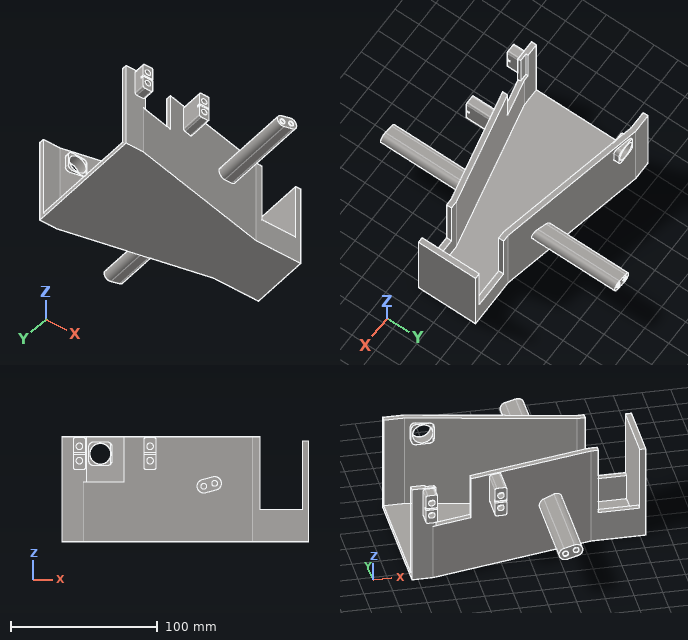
import cadquery as cq
import math

LENGTH = 168.4
HEIGHT = 72.0
WIDE_HALF = 48.8
NARROW_HALF = 24.0
WALL = 4.1
FLOOR = 3.7
TAPER_START = 14.7
TAPER_END = 130.0
TAPER_ANGLE = math.atan2(WIDE_HALF - NARROW_HALF, TAPER_END - TAPER_START)

END_PLATE = 4.3
END_PLATE_TOP = 69.0
OPENING_START = 135.2
OPENING_BOTTOM = 22.1

WINDOW_END = 42.5
WINDOW_BOTTOM = 41.0
TAB_START = 9.8
TAB_THICKNESS = 2.4
TAB_END_INNER = 15.9
TAB_END_OUTER = 16.7

BUSHING_X = 26.3
BUSHING_Z = 60.2
BUSHING_SIZE = 16.0
BUSHING_CORNER = 3.5
BUSHING_LENGTH = 8.2
BUSHING_BORE = 14.1

TAB_CONNECTOR_X = 12.0
TAPER_CONNECTOR_X = 60.2
CONNECTOR_WIDTH = 8.2
CONNECTOR_HEIGHT = 22.0
CONNECTOR_TOP = 71.3
CONNECTOR_CORNER = 1.4
CONNECTOR_FRONT = -57.8
CONNECTOR_HOLE = 4.5
CONNECTOR_HOLE_SPACING = 9.8
CONNECTOR_HOLE_DEPTH = 5.9
GROOVE_WIDTH = 1.2
GROOVE_DEPTH = 2.4

ROD_X = 100.5
ROD_Z = 39.0
ROD_TIP = 98.0
ROD_TILT = 15.0
ROD_THICKNESS = 9.2
ROD_HOLE = 4.0
ROD_HOLE_SPACING = 7.6
ROD_HOLE_DEPTH = 0.8


def channel_prism(inset, bottom, top):
    """Funnel outline moved inwards by `inset`, extruded between two heights."""
    bend_shift = inset * math.tan(TAPER_ANGLE / 2)
    wide = WIDE_HALF - inset
    narrow = NARROW_HALF - inset
    taper_start = TAPER_START - bend_shift
    taper_end = TAPER_END - bend_shift
    outline = [(0, wide), (taper_start, wide), (taper_end, narrow), (LENGTH, narrow)]
    mirrored = [(x, -y) for x, y in reversed(outline)]
    sketch = cq.Workplane("XY").workplane(offset=bottom).polyline(outline + mirrored).close()
    return sketch.extrude(top - bottom)


def box_between(x_range, y_range, z_range):
    """Box given by its limits along each axis."""
    size = [high - low for low, high in (x_range, y_range, z_range)]
    return cq.Workplane("XY").box(*size, centered=False).translate((x_range[0], y_range[0], z_range[0]))


def xz_plane(y):
    """Sketch plane at `y` that extrudes towards +Y, with local x = -X and local y = Z."""
    return cq.Workplane(cq.Plane(origin=(0, y, 0), xDir=(-1, 0, 0), normal=(0, 1, 0)))


def bushing_block():
    """Rounded square block flush with the outer side of the wide +Y wall."""
    block = xz_plane(WIDE_HALF - BUSHING_LENGTH).center(-BUSHING_X, BUSHING_Z)
    block = block.rect(BUSHING_SIZE, BUSHING_SIZE).extrude(BUSHING_LENGTH)
    return block.edges("|Y").fillet(BUSHING_CORNER)


def window_tab():
    """Straight tab that carries the wide wall on to the window, with a slanted end."""
    inner = TAB_THICKNESS - WIDE_HALF
    outline = [
        (TAB_START, -WIDE_HALF),
        (TAB_END_OUTER, -WIDE_HALF),
        (TAB_END_INNER, inner),
        (TAB_START, inner),
    ]
    tab = cq.Workplane("XY").workplane(offset=WINDOW_BOTTOM).polyline(outline).close()
    return tab.extrude(HEIGHT - WINDOW_BOTTOM)


def make_tray():
    """Open-topped channel with an end plate, a window in one wall and a seat for the bushing."""
    tray = channel_prism(0, 0, HEIGHT)
    cavity = channel_prism(WALL, FLOOR, HEIGHT)
    cavity = cavity.intersect(box_between((0, LENGTH - END_PLATE), (-WIDE_HALF, WIDE_HALF), (FLOOR, HEIGHT)))
    tray = tray.cut(cavity)

    across = (-NARROW_HALF, NARROW_HALF)
    tray = tray.cut(box_between((OPENING_START, LENGTH - END_PLATE), across, (OPENING_BOTTOM, HEIGHT)))
    tray = tray.cut(box_between((OPENING_START, LENGTH), across, (END_PLATE_TOP, HEIGHT)))

    window = box_between((TAB_START, WINDOW_END), (-WIDE_HALF, 0), (WINDOW_BOTTOM, HEIGHT))
    tray = tray.cut(window).union(window_tab())
    return tray.cut(bushing_block())


def make_bushing():
    """Rounded square block with a round bore along Y."""
    bore = xz_plane(0).center(-BUSHING_X, BUSHING_Z).circle(BUSHING_BORE / 2).extrude(WIDE_HALF)
    return bushing_block().cut(bore)


def make_connector(x, back):
    """Grooved two-hole block reaching back to Y = `back`, trimmed to the outer side of the tray."""
    middle = CONNECTOR_TOP - CONNECTOR_HEIGHT / 2
    front = xz_plane(CONNECTOR_FRONT).center(-x, middle)
    block = front.rect(CONNECTOR_WIDTH, CONNECTOR_HEIGHT).extrude(back - CONNECTOR_FRONT)
    block = block.edges("|Y").fillet(CONNECTOR_CORNER)
    groove = front.rect(CONNECTOR_WIDTH, GROOVE_WIDTH).extrude(GROOVE_DEPTH)
    holes = front.rarray(2, CONNECTOR_HOLE_SPACING, 1, 2).circle(CONNECTOR_HOLE / 2)
    holes = holes.extrude(CONNECTOR_HOLE_DEPTH)
    return block.cut(groove).cut(holes).cut(channel_prism(0, 0, HEIGHT))


def make_rod(side):
    """Rod of slot-shaped section on the wall at `side` (-1 or +1), with two blind holes in its tip."""
    section = cq.Workplane("XZ").center(ROD_X, ROD_Z).transformed(rotate=(0, 0, ROD_TILT))
    rod = section.slot2D(ROD_HOLE_SPACING + ROD_THICKNESS, ROD_THICKNESS).extrude(ROD_TIP)
    holes = section.workplane(offset=ROD_TIP - ROD_HOLE_DEPTH).rarray(ROD_HOLE_SPACING, 2, 2, 1)
    rod = rod.cut(holes.circle(ROD_HOLE / 2).extrude(ROD_HOLE_DEPTH))
    if side > 0:
        rod = rod.mirror("XZ")
    return rod.cut(channel_prism(0, 0, HEIGHT))


tray = make_tray()
bushing = make_bushing()
connector_places = [(TAB_CONNECTOR_X, -WIDE_HALF), (TAPER_CONNECTOR_X, -NARROW_HALF)]
connectors = [make_connector(x, back) for x, back in connector_places]
rods = [make_rod(side) for side in (-1, 1)]

result = cq.Compound.makeCompound(
    [
        tray.val(),
        bushing.val(),
        *[connector.val() for connector in connectors],
        *[rod.val() for rod in rods],
    ]
)